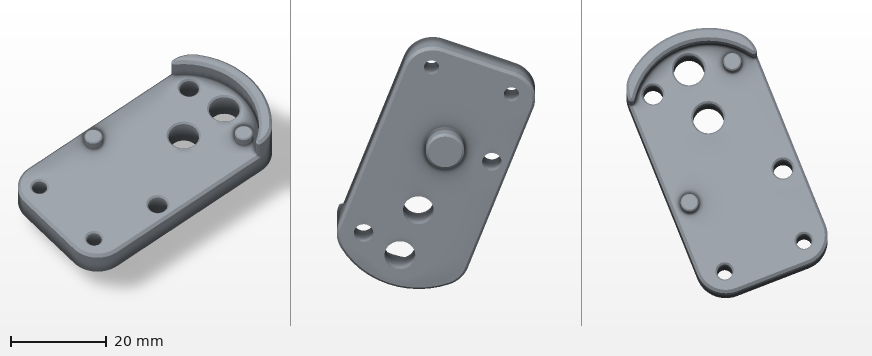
import cadquery as cq
import math

length = 54.95
width = 28.8
plate_height = 6.0
edge_chamfer = 0.6
corner_radius = 6.4
end_radius = 18.7

rim_height = 4.5
rim_inner_radius = 15.95
rim_tip_radius = 0.65
rim_base_fillet = 0.4

pin_diameter = 3.75
pin_height = 2.5
pin_chamfer = 0.3
pin_base_fillet = 0.4

boss_diameter = 8.0
boss_height = 3.2
boss_chamfer = 0.5
boss_base_fillet = 0.4

countersink = 0.4
large_hole_diameter = 6.45
dowel_hole_diameter = 4.05
screw_hole_diameter = 3.2

front_row_y = -22.75
middle_row_y = -6.75
rear_row_y = 18.0
boss_y = -6.85
inner_column_x = 8.9
outer_column_x = 10.5
large_hole_ys = (9.05, 20.1)

half_width = width / 2
half_length = length / 2
rim_top = plate_height + rim_height
end_center_y = half_length - end_radius
rim_tip_y = end_center_y + math.sqrt(rim_inner_radius**2 - half_width**2)


def outline_solid(bottom, top):
    """Prism of the plate outline: a rounded rectangle with one bowed end."""
    corner_x = half_width - corner_radius
    blend = end_radius - corner_radius
    corner_rise = math.sqrt(blend**2 - corner_x**2)
    corner_y = end_center_y + corner_rise
    join_x = end_radius * corner_x / blend
    join_y = end_center_y + end_radius * corner_rise / blend
    front_corner_y = -half_length + corner_radius
    return (
        cq.Workplane("XY", origin=(0, 0, bottom))
        .moveTo(-corner_x, -half_length)
        .lineTo(corner_x, -half_length)
        .radiusArc((half_width, front_corner_y), -corner_radius)
        .lineTo(half_width, corner_y)
        .radiusArc((join_x, join_y), -corner_radius)
        .threePointArc((0, half_length), (-join_x, join_y))
        .radiusArc((-half_width, corner_y), -corner_radius)
        .lineTo(-half_width, front_corner_y)
        .radiusArc((-corner_x, -half_length), -corner_radius)
        .close()
        .extrude(top - bottom)
    )


def make_plate():
    return outline_solid(0, plate_height).faces("<Z or >Z").edges().chamfer(edge_chamfer)


def make_rim():
    """Crescent wall, rooted inside the plate below the top chamfer."""
    root = edge_chamfer
    clearing = (
        cq.Workplane("XY", origin=(0, end_center_y, root))
        .circle(rim_inner_radius)
        .extrude(rim_top)
    )
    front_part = (
        cq.Workplane("XY", origin=(0, end_center_y - half_length, root))
        .rect(width, length)
        .extrude(rim_top)
    )
    rim = outline_solid(root, rim_top).cut(clearing).cut(front_part)
    rim = rim.edges("|Z and <Y").fillet(rim_tip_radius)
    return rim.faces(">Z").edges().chamfer(edge_chamfer)


def make_stud(x, y, base_z, diameter, height, chamfer, base_fillet):
    """Upright round stud with a chamfered tip and a flared base."""
    radius = diameter / 2
    foot = radius + base_fillet
    middle = base_fillet * (1 - math.sqrt(0.5))
    return (
        cq.Workplane("XZ")
        .lineTo(foot, 0)
        .threePointArc((radius + middle, middle), (radius, base_fillet))
        .lineTo(radius, height - chamfer)
        .lineTo(radius - chamfer, height)
        .lineTo(0, height)
        .close()
        .revolve(360, (0, 0), (0, 1))
        .translate((x, y, base_z))
    )


def make_hole(x, y, diameter):
    """Cutter for a through hole with a countersunk top edge."""
    radius = diameter / 2
    return (
        cq.Workplane("XZ")
        .lineTo(radius, 0)
        .lineTo(radius, plate_height - countersink)
        .lineTo(radius + countersink, plate_height)
        .lineTo(0, plate_height)
        .close()
        .revolve(360, (0, 0), (0, 1))
        .translate((x, y, 0))
    )


result = make_plate().union(make_rim())

rim_foot = cq.selectors.BoxSelector(
    (-half_width, rim_tip_y, plate_height - edge_chamfer),
    (half_width, half_length, plate_height + edge_chamfer),
)
result = result.edges(rim_foot).fillet(rim_base_fillet)

for x, y in ((-outer_column_x, middle_row_y), (inner_column_x, rear_row_y)):
    pin = make_stud(x, y, plate_height, pin_diameter, pin_height, pin_chamfer, pin_base_fillet)
    result = result.union(pin)

boss = make_stud(0, boss_y, 0, boss_diameter, boss_height, boss_chamfer, boss_base_fillet)
result = result.union(boss.mirror("XY"))

holes = [(0, y, large_hole_diameter) for y in large_hole_ys]
holes += [
    (outer_column_x, middle_row_y, dowel_hole_diameter),
    (-inner_column_x, rear_row_y, dowel_hole_diameter),
    (inner_column_x, front_row_y, screw_hole_diameter),
    (-inner_column_x, front_row_y, screw_hole_diameter),
]
for x, y, diameter in holes:
    result = result.cut(make_hole(x, y, diameter))